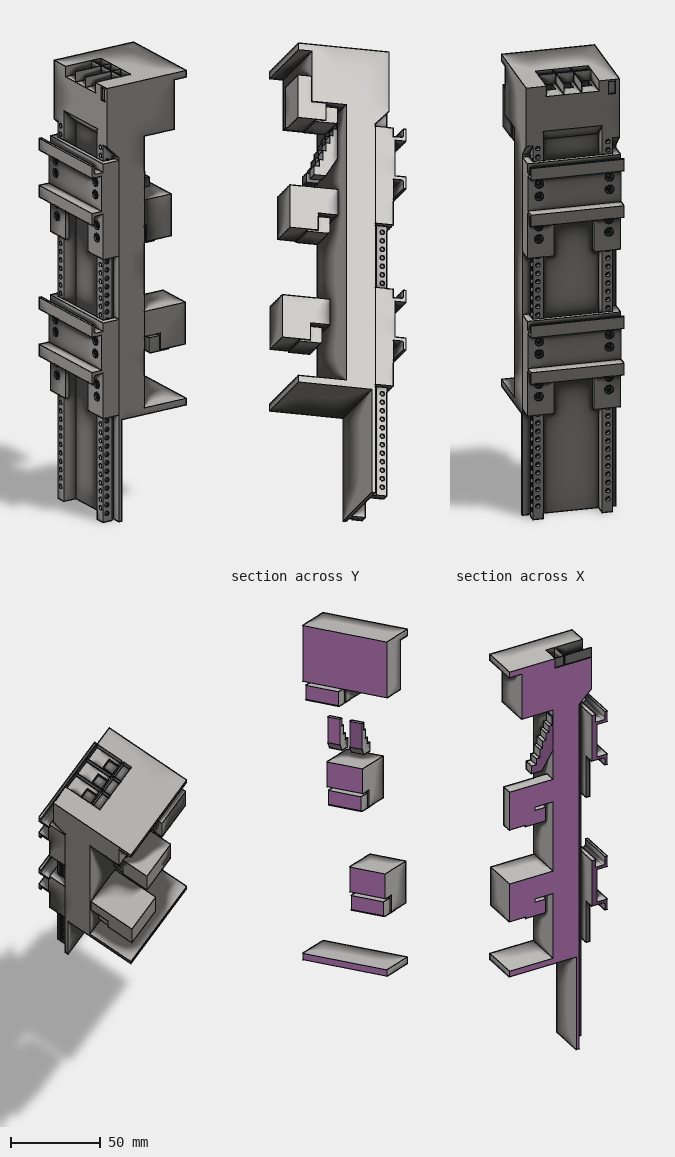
import cadquery as cq


width = 54.0
height = 260.0
half_width = width / 2
plate_front = 8.0
plate_back = 10.0
body_back = 25.0
head_back = 45.0
flange_back = 53.0
flange_thickness = 4.0
head_bottom = height - 33.5
body_bottom = 60.5

rib_outer = half_width - 4.0
rib_inner = rib_outer - 6.0
channel_top = height - 27.0
ledge_top = height - 35.0
groove_depth = 1.5
groove_front = 6.0
hole_pitch = 5.0
hole_diameter = 2.5
front_hole_x = 20.3
front_hole_start = 8.0
front_hole_count = 44
front_hole_depth = 3.0
side_hole_y = 2.6
side_hole_start = 5.0
side_hole_count = 43
side_hole_depth = 1.0

hook_pitch = 60.0
hook_shift = 14.5
hook_width = 23.0
hook_height = 25.0
hook_top = height - 18.5
hook_arm_height = 15.0
hook_lip_front = 36.5
contact_inset = 1.0
contact_front = 29.5
contact_back = 42.5
contact_height = 9.2
contact_drop = 1.0
contact_radius = 1.0

well_width = 10.0
well_divider = 0.25
well_depth = 6.2
well_back = 23.5
cross_wall_front = 17.2
cross_wall_back = 18.0
terminal_pitch = 10.5
terminal_width = 6.1
terminal_front = 9.4
terminal_back = 16.5
terminal_depth = 3.0

slot_left = 20.7
slot_width = 4.0
slot_top = height - 1.1
slot_height = 7.5
slot_depth = 1.0

carrier_tops = [height - 44.5, height - 139.3]
carrier_height = 57.0
carrier_front = -2.5
leg_inner = 11.5
rail_height = 35.0
rail_front = -10.0
rail_web_front = -3.5
rail_lip_height = 5.0
rail_lip_thickness = 1.5
rail_flange_thickness = 2.0
rail_bend_radius = 1.5
screw_x = front_hole_x
screw_drops = [12.5, 20.0, 38.5, 46.0]
screw_head_diameter = 5.0
screw_head_depth = 1.0
screw_clearance_diameter = 3.0
screw_clearance_depth = 1.75
screw_core_diameter = 2.4

lever_x = 7.0
lever_width = 8.0
lever_bottom = height - 71.0
lever_foot_depth = 7.0
lever_foot_top = height - 60.0
lever_stairs = [
    (height - 37.5, 0.8),
    (height - 43.0, 2.7),
    (height - 47.0, 4.5),
    (height - 51.6, 6.8),
    (height - 56.3, 8.6),
    (height - 61.8, 10.8),
    (height - 65.7, 13.8),
]


def box(x0, x1, y0, y1, z0, z1):
    return cq.Workplane("XY").box(x1 - x0, y1 - y0, z1 - z0, centered=False).translate((x0, y0, z0))


def side_profile(points, x0, x1):
    """Prism along X from an outline of (Y, Z) points."""
    return cq.Workplane("YZ").polyline(points).close().extrude(x1 - x0).translate((x0, 0, 0))


def bore(x, y, z, diameter, depth):
    """Cylinder running from (x, y, z) towards +Y."""
    axis = cq.Vector(0, 1, 0)
    return cq.Workplane(cq.Solid.makeCylinder(diameter / 2, depth, cq.Vector(x, y, z), axis))


def make_shell():
    outline = [
        (0, 0),
        (plate_back, 0),
        (plate_back, body_bottom),
        (flange_back, body_bottom),
        (flange_back, body_bottom + flange_thickness),
        (body_back, body_bottom + flange_thickness),
        (body_back, head_bottom),
        (head_back, head_bottom),
        (head_back, height - flange_thickness),
        (flange_back, height - flange_thickness),
        (flange_back, height),
        (0, height),
    ]
    return side_profile(outline, -half_width, half_width)


def recess(x0, x1, top):
    """Recess down to the base plate front, with a 45 degree upper end."""
    outline = [(0, 0), (plate_front, 0), (plate_front, top - plate_front), (0, top)]
    return side_profile(outline, x0, x1)


def cut_ribs(body):
    """Leave two ribs on the base plate, each with an undercut groove along its outer foot."""
    body = body.cut(recess(-rib_inner, rib_inner, channel_top))
    groove_bottom = rib_outer - groove_depth
    for side in (-1, 1):
        ledge = sorted((side * rib_outer, side * half_width))
        groove = sorted((side * groove_bottom, side * rib_outer))
        body = body.cut(recess(*ledge, ledge_top))
        body = body.cut(box(*groove, groove_front, plate_front, 0, ledge_top - plate_front))
    return body


def cut_rib_holes(body):
    holes = []
    for side in (-1, 1):
        for i in range(front_hole_count):
            z = front_hole_start + i * hole_pitch
            holes.append(bore(side * front_hole_x, 0, z, hole_diameter, front_hole_depth).val())
        for i in range(side_hole_count):
            start = cq.Vector(side * rib_outer, side_hole_y, side_hole_start + i * hole_pitch)
            inward = cq.Vector(-side, 0, 0)
            holes.append(cq.Solid.makeCylinder(hole_diameter / 2, side_hole_depth, start, inward))
    return body.cut(cq.Workplane(cq.Compound.makeCompound(holes)))


def make_hook(x, top):
    """Busbar hook with its contact block; x is the hook centre."""
    bottom = top - hook_height
    arm_bottom = top - hook_arm_height
    outline = [
        (body_back, top),
        (flange_back, top),
        (flange_back, bottom),
        (hook_lip_front, bottom),
        (hook_lip_front, arm_bottom),
        (body_back, arm_bottom),
    ]
    hook = side_profile(outline, x - hook_width / 2, x + hook_width / 2)
    half_contact = hook_width / 2 - contact_inset
    contact_bottom = bottom - contact_drop
    contact = box(
        x - half_contact, x + half_contact,
        contact_front, contact_back,
        contact_bottom, contact_bottom + contact_height,
    )
    contact = contact.edges("<Y and <Z").fillet(contact_radius)
    return hook.union(contact)


def cut_terminal_wells(body):
    pitch = well_width + well_divider
    floor = height - well_depth
    for i in (-1, 0, 1):
        left = i * pitch - well_width / 2
        right = left + well_width
        body = body.cut(box(left, right, 0, cross_wall_front, floor, height))
        body = body.cut(box(left, right, cross_wall_back, well_back, floor, height))
        terminal_left = i * terminal_pitch - terminal_width / 2
        body = body.cut(box(
            terminal_left, terminal_left + terminal_width,
            terminal_front, terminal_back,
            floor - terminal_depth, floor,
        ))
    return body


def make_housing():
    body = cut_rib_holes(cut_ribs(make_shell()))
    for i in range(3):
        body = body.union(make_hook((i - 1) * hook_shift, hook_top - i * hook_pitch))
    body = cut_terminal_wells(body)
    slot_bottom = slot_top - slot_height
    return body.cut(box(slot_left, slot_left + slot_width, 0, slot_depth, slot_bottom, slot_top))


def make_rail(top):
    """Top-hat rail: web, two flanges and lips turned outwards with a rounded inner bend."""
    lip_back = rail_front + rail_lip_thickness
    web = rail_lip_height + rail_flange_thickness
    bottom = top - rail_height
    rail = box(-half_width, half_width, rail_web_front, carrier_front, bottom + web, top - web)
    for edge, inward in ((top, -1), (bottom, 1)):
        root = edge + inward * rail_lip_height
        lip = (
            cq.Workplane("YZ")
            .moveTo(rail_front, edge)
            .lineTo(lip_back, edge)
            .lineTo(lip_back, root - inward * rail_bend_radius)
            .radiusArc((lip_back + rail_bend_radius, root), inward * rail_bend_radius)
            .lineTo(carrier_front, root)
            .lineTo(carrier_front, edge + inward * web)
            .lineTo(rail_front, edge + inward * web)
            .close()
            .extrude(width)
            .translate((-half_width, 0, 0))
        )
        rail = rail.union(lip)
    return rail


def make_carrier(top):
    """Rail carrier: a plate over the ribs with two legs and side walls, the rail in front."""
    bottom = top - carrier_height
    gap_top = top - rail_height + rail_lip_height
    carrier = box(-half_width, half_width, carrier_front, 0, bottom, top)
    carrier = carrier.cut(box(-leg_inner, leg_inner, carrier_front, 0, bottom, gap_top))
    for side in (-1, 1):
        wall = sorted((side * rib_outer, side * half_width))
        carrier = carrier.union(box(*wall, carrier_front, plate_front, bottom, top))
    carrier = carrier.union(make_rail(top))
    web_top = top - rail_lip_height - rail_flange_thickness
    web_bottom = top - rail_height + rail_lip_height + rail_flange_thickness
    for side in (-1, 1):
        for drop in screw_drops:
            x = side * screw_x
            z = top - drop
            face = rail_web_front if web_bottom < z < web_top else carrier_front
            carrier = carrier.cut(bore(x, face, z, screw_head_diameter, screw_head_depth))
            carrier = carrier.cut(bore(x, face, z, screw_clearance_diameter, screw_clearance_depth))
            carrier = carrier.cut(bore(x, face, z, screw_core_diameter, -face))
    return carrier


def make_lever(x):
    """Stepped clamp lever on the back of the housing body."""
    outline = [(body_back, lever_stairs[0][0])]
    floors = [stair[0] for stair in lever_stairs[1:]] + [lever_bottom]
    for (stair_top, depth), stair_bottom in zip(lever_stairs, floors):
        outline.append((body_back + depth, stair_top))
        outline.append((body_back + depth, stair_bottom))
    outline.append((body_back + lever_foot_depth, lever_bottom))
    outline.append((body_back, lever_foot_top))
    return side_profile(outline, x - lever_width / 2, x + lever_width / 2)


housing = make_housing()
carriers = [make_carrier(top) for top in carrier_tops]
levers = [make_lever(side * lever_x) for side in (-1, 1)]

result = cq.Compound.makeCompound([
    housing.val(),
    *[carrier.val() for carrier in carriers],
    *[lever.val() for lever in levers],
])